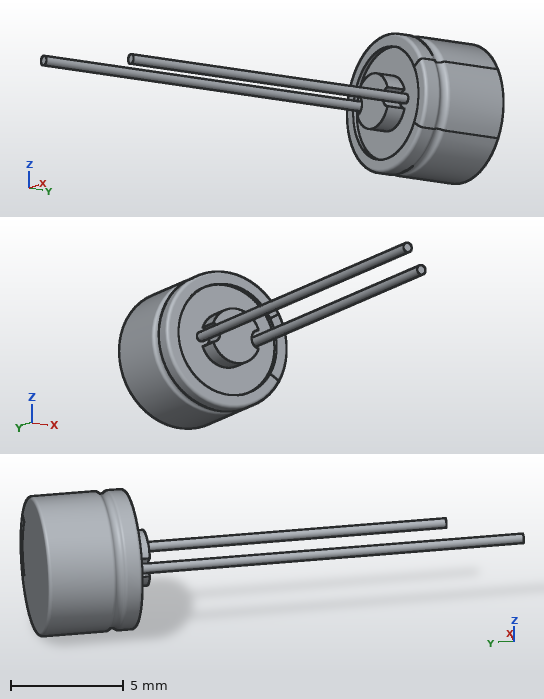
import cadquery as cq
import math


can_radius = 3.15
can_length = 4.3
rim_fillet = 0.15
opening_radius = 2.55

groove_center = 1.01
groove_half_width = 0.33
groove_depth = 0.13
groove_floor_radius = 0.29

stripe_angle = 60

bung_recess = 0.2
bung_depth = 1.35
boss_radius = 1.25
boss_tip = 0.73
boss_notch_radius = 0.45

total_length = 22
lead_radius = 0.22
lead_offset = 1.25
long_lead_tip = total_length - can_length
short_lead_tip = long_lead_tip - 3.0


def cylinder(radius, y_start, y_end, x=0):
    """Cylinder along Y between two Y positions."""
    return cq.Workplane("XZ", origin=(x, y_start, 0)).circle(radius).extrude(y_start - y_end)


def wall_profile():
    """Half section of the can wall, from the opening radius to the grooved outside."""
    groove_angle = 2 * math.atan(groove_depth / groove_half_width)
    blend_radius = groove_half_width / math.sin(groove_angle) - groove_floor_radius
    blend_width = blend_radius * math.sin(groove_angle)
    blend_drop = blend_radius * (1 - math.cos(groove_angle))
    blend_mid_width = blend_radius * math.sin(groove_angle / 2)
    blend_mid_drop = blend_radius * (1 - math.cos(groove_angle / 2))

    def groove_point(from_center, drop):
        return (can_radius - drop, groove_center + from_center)

    joint = groove_half_width - blend_width
    blend_mid = groove_half_width - blend_mid_width
    corner_inset = rim_fillet * (1 - math.sqrt(0.5))
    return (
        cq.Workplane("XY")
        .moveTo(opening_radius, 0)
        .lineTo(can_radius - rim_fillet, 0)
        .threePointArc((can_radius - corner_inset, corner_inset), (can_radius, rim_fillet))
        .lineTo(*groove_point(-groove_half_width, 0))
        .threePointArc(groove_point(-blend_mid, blend_mid_drop), groove_point(-joint, blend_drop))
        .threePointArc(groove_point(0, groove_depth), groove_point(joint, blend_drop))
        .threePointArc(groove_point(blend_mid, blend_mid_drop), groove_point(groove_half_width, 0))
        .lineTo(can_radius, can_length - rim_fillet)
        .threePointArc(
            (can_radius - corner_inset, can_length - corner_inset),
            (can_radius - rim_fillet, can_length),
        )
        .lineTo(opening_radius, can_length)
        .close()
    )


def wall_sector(start_angle, sweep_angle):
    """Part of the can wall, swept about Y from an angle measured from +X."""
    sector = wall_profile().revolve(sweep_angle, (0, 0, 0), (0, 1, 0))
    return sector.rotate((0, 0, 0), (0, 1, 0), start_angle)


def make_can():
    wall = wall_sector(stripe_angle / 2, 360 - stripe_angle)
    core = cylinder(opening_radius, bung_depth, can_length)
    return wall.union(core)


def make_stripe():
    return wall_sector(-stripe_angle / 2, stripe_angle)


def make_bung():
    plug = cylinder(opening_radius, bung_recess, bung_depth)
    boss = cylinder(boss_radius, -boss_tip, bung_recess)
    for side in (-1, 1):
        boss = boss.cut(cylinder(boss_notch_radius, -boss_tip, bung_recess, side * lead_offset))
    return plug.union(boss)


def make_lead(x, tip):
    return cylinder(lead_radius, -tip, bung_recess, x)


can = make_can()
stripe = make_stripe()
bung = make_bung()
leads = [
    make_lead(x, tip)
    for x, tip in ((-lead_offset, long_lead_tip), (lead_offset, short_lead_tip))
]

result = cq.Compound.makeCompound(
    [can.val(), stripe.val(), bung.val(), *[lead.val() for lead in leads]]
)